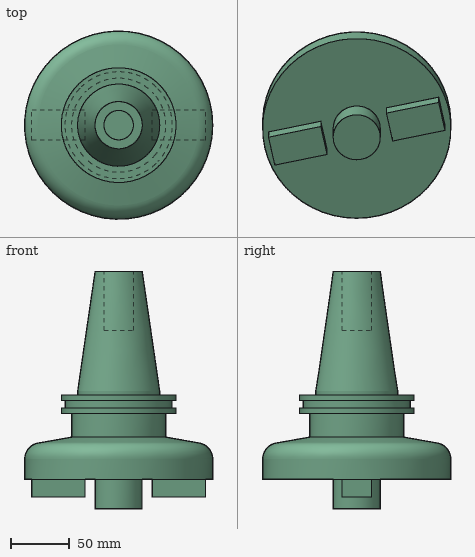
import cadquery as cq
import math

gauge_level = 100.0
pilot_length = 25.0
neck_base_level = 61.0

gauge_diameter = 69.85
taper_length = 101.6
taper_ratio = 7 / 24
taper_top_diameter = gauge_diameter - taper_length * taper_ratio
bore_diameter = 25.0
bore_depth = 50.0

flange_diameter = 97.5
flange_gap = 3.2
flange_thickness = 15.9
groove_diameter = 91.0
groove_width = 6.1

neck_diameter = 80.0
head_diameter = 160.0
head_cone_angle = math.radians(10)
head_round_radius = 14.0
pilot_diameter = 40.0

key_length = 45.4
key_width = 25.4
key_height = 15.0
key_inner_edge = 28.5

flange_top = gauge_level - flange_gap
flange_bottom = flange_top - flange_thickness
shank_top = gauge_level + taper_length


def cylinder(diameter, bottom, top):
    return cq.Workplane("XY").workplane(offset=bottom).circle(diameter / 2).extrude(top - bottom)


def make_shank():
    profile = [
        (0, flange_top),
        (gauge_diameter / 2, flange_top),
        (gauge_diameter / 2, gauge_level),
        (taper_top_diameter / 2, shank_top),
        (0, shank_top),
    ]
    return cq.Workplane("XZ").polyline(profile).close().revolve(360, (0, 0, 0), (0, 1, 0))


def make_flange():
    middle = (flange_top + flange_bottom) / 2
    groove_bottom = middle - groove_width / 2
    groove_top = middle + groove_width / 2
    lower_rim = cylinder(flange_diameter, flange_bottom, groove_bottom)
    groove_core = cylinder(groove_diameter, groove_bottom, groove_top)
    upper_rim = cylinder(flange_diameter, groove_top, flange_top)
    return lower_rim.union(groove_core).union(upper_rim)


def make_head():
    """Disc with a shallow conical top blending into the rim through a tangent arc."""
    rim_radius = head_diameter / 2
    neck_radius = neck_diameter / 2
    arc_centre_radius = rim_radius - head_round_radius
    blend_radius = arc_centre_radius + head_round_radius * math.sin(head_cone_angle)
    blend_level = neck_base_level - (blend_radius - neck_radius) * math.tan(head_cone_angle)
    arc_centre_level = blend_level - head_round_radius * math.cos(head_cone_angle)

    middle_angle = (math.pi / 2 - head_cone_angle) / 2
    arc_middle = (
        arc_centre_radius + head_round_radius * math.cos(middle_angle),
        arc_centre_level + head_round_radius * math.sin(middle_angle),
    )
    profile = (
        cq.Workplane("XZ")
        .moveTo(0, pilot_length)
        .lineTo(rim_radius, pilot_length)
        .lineTo(rim_radius, arc_centre_level)
        .threePointArc(arc_middle, (blend_radius, blend_level))
        .lineTo(neck_radius, neck_base_level)
        .lineTo(0, neck_base_level)
        .close()
    )
    return profile.revolve(360, (0, 0, 0), (0, 1, 0))


def make_key(side):
    centre_x = side * (key_inner_edge + key_length / 2)
    return (
        cq.Workplane("XY")
        .workplane(offset=pilot_length - key_height)
        .center(centre_x, 0)
        .rect(key_length, key_width)
        .extrude(key_height)
    )


result = make_shank().union(make_flange())
result = result.union(cylinder(neck_diameter, neck_base_level, flange_bottom))
result = result.union(make_head())
result = result.union(cylinder(pilot_diameter, 0, pilot_length))
for side in (-1, 1):
    result = result.union(make_key(side))
result = result.cut(cylinder(bore_diameter, shank_top - bore_depth, shank_top))